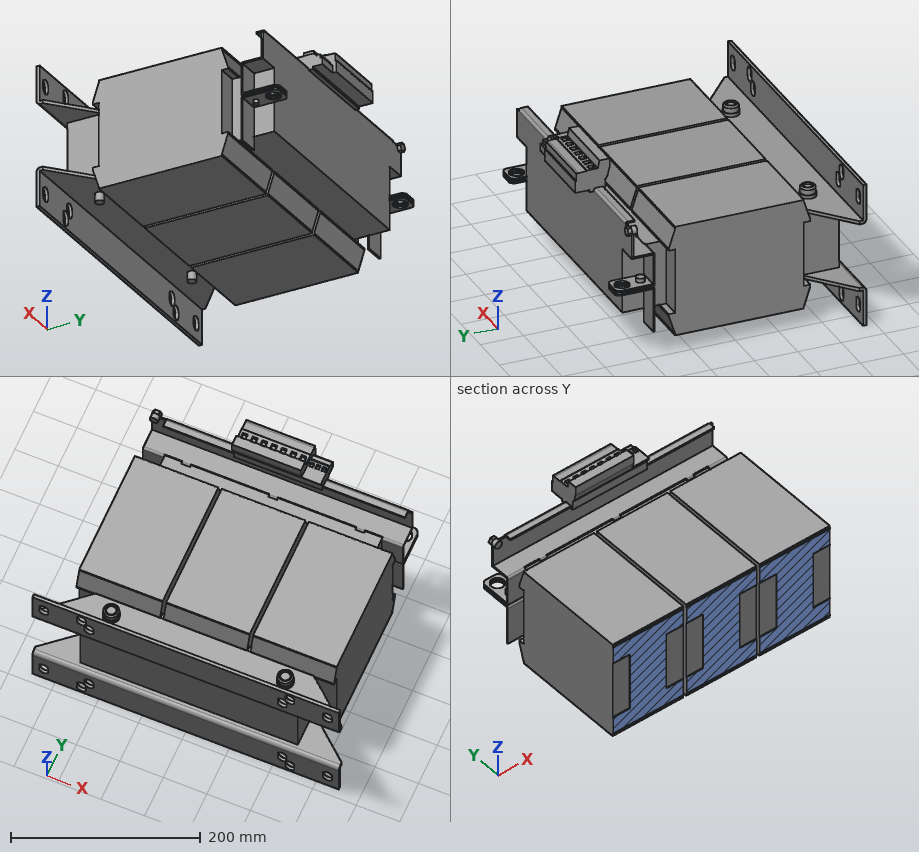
import cadquery as cq

CORE_WIDTH = 250.0
CORE_DEPTH = 250.0
CORE_HEIGHT = 76.0
CORE_FRONT = 9.1
LIMB = 50.0
LEG_PITCH = (CORE_WIDTH - LIMB) / 2
LEG_CENTRES = (-LEG_PITCH, 0.0, LEG_PITCH)
CORE_TOP = CORE_HEIGHT / 2
CORE_BACK = CORE_FRONT + CORE_DEPTH
WINDOW_FRONT = CORE_FRONT + LIMB
WINDOW_BACK = CORE_BACK - LIMB

COIL_WIDTH = 96.0
COIL_TOP = 65.0
COIL_GAP = 0.7
FLARE_REACH = 7.5
FLARE_TOP = 63.0
FLARE_LIP = 2.0
COIL_FRONT = WINDOW_FRONT + COIL_GAP
COIL_BACK = WINDOW_BACK - COIL_GAP

ANGLE_LENGTH = 352.0
ANGLE_THICKNESS = 4.0
ANGLE_TOP = 84.25
ANGLE_BEND = 5.0
ANGLE_TAPER_START = 8.0
ANGLE_BACK = 52.0
SLOT_WIDTH = 10.5
SLOT_LENGTH = 17.0
SLOT_CENTRES = ((163.0, 64.5), (119.6, 72.5), (111.0, 59.5))

BOLT_DIAMETER = 10.0
BOLT_Y = CORE_FRONT + LIMB / 2
WASHER_DIAMETER = 18.5
WASHER_THICKNESS = 4.0
BOLT_HEAD_DIAMETER = 17.0
BOLT_HEAD_HEIGHT = 8.0
BOLT_HEAD_CHAMFER = 2.0
BOLT_SOCKET_DIAMETER = 11.0
BOLT_SOCKET_DEPTH = 2.0
BOLT_TAIL = 10.0

SHEET = 2.0
BEND_RADIUS = 2.5
BRACKET_WIDTH = 299.0
BRACKET_FRONT = 232.6
CLIP_WIDTH = 10.0
CLIP_ROUND = 1.9
EAR_WIDTH = (BRACKET_WIDTH - CORE_WIDTH) / 2
EAR_X = (BRACKET_WIDTH - EAR_WIDTH) / 2
EAR_BACK = 276.8
EAR_GAP = 2.0
EAR_CORNER = 6.0
EYE_DIAMETER = 16.5
EYE_Y = 265.0
LOWER_SHEET_BOTTOM = -54.0
RAIL_TOP = 74.5
RAIL_BEND = 3.0
RAIL_FRONT = 248.6
RAIL_LEFT = -133.0
RAIL_RIGHT = 145.0

EAR_SCREW_Y = 243.9
EAR_SCREW_DIAMETER = 6.0
EAR_SCREW_TAIL = 7.0
EAR_SCREW_HEAD_DIAMETER = 10.0
EAR_SCREW_HEAD_HEIGHT = 5.0
EARTH_X = -145.5
EARTH_Z = 70.0
EARTH_HEAD_DIAMETER = 9.5
EARTH_FRONT = 253.0
EARTH_NUT_DIAMETER = 10.4
EARTH_BACK = 263.5

TERMINAL_LEFT = -50.4
TERMINAL_RIGHT = 28.8
TERMINAL_TOP = 106.3
TERMINAL_DECK = 97.3
TERMINAL_DECK_STEP = 267.0
TERMINAL_BACK = 280.4
TERMINAL_BACK_RECESS = 1.2
TERMINAL_BACK_STEP = 87.3
TERMINAL_BACK_CREASE = 276.7
DECK_DROP = 1.2
DECK_RISE = 0.3
TERMINAL_RIDGE_FOOT = 254.5
TERMINAL_RIDGE_BACK = 252.5
TERMINAL_FRONT = 240.9
TERMINAL_FRONT_BOTTOM = 95.7
TERMINAL_BAND_Y = 241.6
TERMINAL_BAND_BOTTOM = 93.4
WAIST_Y = 243.4
WAIST_Z = 85.7
FOOT_FRONT = 245.8
FOOT_BACK = 264.0
FOOT_TOP = 82.1
FOOT_BOTTOM = 70.7
TERMINAL_BOTTOM = 73.4
TERMINAL_POLES = 7
TERMINAL_PITCH = 11.25
OPENING_WIDTH = 5.5
OPENING_DEPTH = 6.5
OPENING_Y = 259.6
POCKET_DEPTH = 4.0

SMALL_RIGHT = 50.9
SMALL_TOP = 89.0
SMALL_SHOULDER = 86.0
SMALL_BACK = 275.8
SMALL_BACK_STEP = 82.0
SMALL_UPPER_BACK = 273.1
SMALL_SLOPE_BACK = 268.2
SMALL_SLOPE_FRONT = 265.7
SMALL_FRONT = 242.2
SMALL_POLES = 3
SMALL_PITCH = 7.0
SMALL_OPENING_WIDTH = 4.0
SMALL_OPENING_DEPTH = 5.0
SMALL_OPENING_Y = 260.5


def box(x0, x1, y0, y1, z0, z1):
    """Block between two opposite corners."""
    return cq.Workplane("XY").box(x1 - x0, y1 - y0, z1 - z0, centered=False).translate((x0, y0, z0))


def rod(x, y, z0, z1, diameter):
    """Upright cylinder from z0 to z1."""
    return cq.Workplane("XY", origin=(x, y, z0)).circle(diameter / 2).extrude(z1 - z0)


def extrude_profile(points, x0, x1):
    """Closed (y, z) outline swept from x0 to x1."""
    return cq.Workplane("YZ", origin=(x0, 0, 0)).polyline(points).close().extrude(x1 - x0)


def make_core():
    half = CORE_WIDTH / 2
    core = box(-half, half, CORE_FRONT, CORE_BACK, -CORE_TOP, CORE_TOP)
    for left, right in zip(LEG_CENTRES, LEG_CENTRES[1:]):
        core = core.cut(
            box(left + LIMB / 2, right - LIMB / 2, WINDOW_FRONT, WINDOW_BACK, -CORE_TOP, CORE_TOP)
        )
    return core


def make_coil(x):
    lip_top = CORE_TOP + FLARE_LIP
    upper = [
        (COIL_FRONT, CORE_TOP),
        (COIL_FRONT - FLARE_REACH, CORE_TOP),
        (COIL_FRONT - FLARE_REACH, lip_top),
        (COIL_FRONT, FLARE_TOP),
        (COIL_FRONT, COIL_TOP),
        (COIL_BACK, COIL_TOP),
        (COIL_BACK, FLARE_TOP),
        (COIL_BACK + FLARE_REACH, lip_top),
        (COIL_BACK + FLARE_REACH, CORE_TOP),
        (COIL_BACK, CORE_TOP),
    ]
    lower = [(y, -z) for y, z in reversed(upper)]
    return extrude_profile(upper + lower, x - COIL_WIDTH / 2, x + COIL_WIDTH / 2)


def make_mounting_angle():
    """Upper angle: drilled upright flange and a tapered sheet lying on the core."""
    half = ANGLE_LENGTH / 2
    sheet_top = CORE_TOP + ANGLE_THICKNESS
    sheet = box(-half, half, 0, ANGLE_BACK, CORE_TOP, sheet_top)
    flange = box(-half, half, 0, ANGLE_THICKNESS, CORE_TOP, ANGLE_TOP)
    angle = sheet.union(flange)
    angle = angle.edges("|X and <Y and <Z").fillet(ANGLE_BEND)
    outline = [
        (-half, 0),
        (half, 0),
        (half, ANGLE_TAPER_START),
        (CORE_WIDTH / 2, ANGLE_BACK),
        (-CORE_WIDTH / 2, ANGLE_BACK),
        (-half, ANGLE_TAPER_START),
    ]
    angle = angle.intersect(cq.Workplane("XY").polyline(outline).close().extrude(ANGLE_TOP))
    centres = [(side * x, z) for x, z in SLOT_CENTRES for side in (-1, 1)]
    slots = (
        cq.Workplane("XZ", origin=(0, ANGLE_THICKNESS, 0))
        .pushPoints(centres)
        .slot2D(SLOT_LENGTH, SLOT_WIDTH, 90)
        .extrude(ANGLE_THICKNESS)
    )
    return angle.cut(slots)


def make_bolt(x):
    washer_base = CORE_TOP + ANGLE_THICKNESS
    head_base = washer_base + WASHER_THICKNESS
    head_top = head_base + BOLT_HEAD_HEIGHT
    head = rod(x, BOLT_Y, head_base, head_top, BOLT_HEAD_DIAMETER)
    head = head.faces(">Z").edges().chamfer(BOLT_HEAD_CHAMFER)
    head = head.cut(rod(x, BOLT_Y, head_top - BOLT_SOCKET_DEPTH, head_top, BOLT_SOCKET_DIAMETER))
    washer = rod(x, BOLT_Y, washer_base, head_base, WASHER_DIAMETER)
    shank = rod(x, BOLT_Y, -washer_base - BOLT_TAIL, head_base, BOLT_DIAMETER)
    return shank.union(washer).union(head)


def make_bent_tab(x, width, top, bottom):
    """Sheet strip bent down from a plate whose upper face is at z = top."""
    tab = box(
        x - width / 2, x + width / 2, BRACKET_FRONT, BRACKET_FRONT + BEND_RADIUS + SHEET, bottom, top
    )
    tab = tab.edges("|X and <Y and >Z").fillet(BEND_RADIUS)
    underside = box(
        x - width / 2, x + width / 2, BRACKET_FRONT + SHEET, BRACKET_FRONT + BEND_RADIUS + SHEET,
        bottom, top - SHEET,
    )
    return tab.cut(underside)


def make_ear(x, bottom):
    """Horizontal lifting ear with a rounded end and an eye."""
    ear = box(x - EAR_WIDTH / 2, x + EAR_WIDTH / 2, BRACKET_FRONT + SHEET, EAR_BACK, bottom, bottom + SHEET)
    ear = ear.edges("|Z and >Y").fillet(EAR_CORNER)
    return ear.cut(rod(x, EYE_Y, bottom, bottom + SHEET, EYE_DIAMETER))


def make_ear_assembly(x):
    """Upper and lower side flanges with their ears, joined by a screw."""
    plate_top = CORE_TOP + SHEET
    upper_ear = EAR_GAP / 2
    lower_ear = -EAR_GAP / 2 - SHEET
    head_base = upper_ear + SHEET
    upper = make_bent_tab(x, EAR_WIDTH, plate_top, upper_ear)
    foot = box(
        x - EAR_WIDTH / 2, x + EAR_WIDTH / 2, BRACKET_FRONT, BRACKET_FRONT + SHEET,
        upper_ear, upper_ear + SHEET,
    )
    lower = make_bent_tab(x, EAR_WIDTH, lower_ear + SHEET, LOWER_SHEET_BOTTOM)
    shank = rod(x, EAR_SCREW_Y, -EAR_SCREW_TAIL, head_base, EAR_SCREW_DIAMETER)
    head = rod(x, EAR_SCREW_Y, head_base, head_base + EAR_SCREW_HEAD_HEIGHT, EAR_SCREW_HEAD_DIAMETER)
    assembly = upper.union(foot).union(lower).union(shank).union(head)
    return assembly.union(make_ear(x, upper_ear)).union(make_ear(x, lower_ear))


def make_rail():
    """Plate on the rear yoke, rising into a rail with a turned-in top."""
    half = BRACKET_WIDTH / 2
    plate_top = CORE_TOP + SHEET
    plate_front = BRACKET_FRONT + BEND_RADIUS
    plate = box(-half, half, plate_front, CORE_BACK, CORE_TOP, plate_top)
    wall = box(-half, half, CORE_BACK - SHEET, CORE_BACK, CORE_TOP, RAIL_TOP - RAIL_BEND)
    lip_base = RAIL_TOP - 2 * RAIL_BEND
    lip = box(RAIL_LEFT, RAIL_RIGHT, RAIL_FRONT, CORE_BACK, lip_base, RAIL_TOP)
    lip = lip.edges("|X and >Y and >Z").fillet(RAIL_BEND)
    lip = lip.cut(box(RAIL_LEFT, RAIL_RIGHT, RAIL_FRONT, CORE_BACK - SHEET, lip_base, RAIL_TOP - SHEET))
    rail = plate.union(wall).union(lip)
    for x in LEG_CENTRES:
        clip = box(x - CLIP_WIDTH / 2, x + CLIP_WIDTH / 2, BRACKET_FRONT, plate_front, CORE_TOP, plate_top)
        rail = rail.union(clip.edges("|X and <Y and >Z").fillet(CLIP_ROUND))
    return rail


def make_earth_screw():
    def along_y(y0, y1, diameter):
        plane = cq.Workplane("XZ", origin=(EARTH_X, y1, EARTH_Z))
        return plane.circle(diameter / 2).extrude(y1 - y0)

    head = along_y(EARTH_FRONT, CORE_BACK, EARTH_HEAD_DIAMETER)
    nut = (
        cq.Workplane("XZ", origin=(EARTH_X, EARTH_BACK, EARTH_Z))
        .polygon(6, EARTH_NUT_DIAMETER)
        .extrude(EARTH_BACK - CORE_BACK)
    )
    return head.union(nut)


def make_terminal_block(x0, x1, back_and_top, front):
    """Block whose (y, z) outline runs from its back over the top to the front, above the common foot."""
    foot = [
        (WAIST_Y, WAIST_Z),
        (FOOT_FRONT, FOOT_TOP),
        (FOOT_FRONT, FOOT_BOTTOM),
        (FOOT_BACK, FOOT_BOTTOM),
        (FOOT_BACK, TERMINAL_BOTTOM),
    ]
    return extrude_profile(back_and_top + front + foot, x0, x1)


def make_openings(x_middle, poles, pitch, y, width, depth, top):
    """Row of rectangular wire openings sunk below z = top."""
    centres = [(x_middle + (i - (poles - 1) / 2) * pitch, y) for i in range(poles)]
    plane = cq.Workplane("XY", origin=(0, 0, top - POCKET_DEPTH))
    return plane.pushPoints(centres).rect(width, depth).extrude(2 * POCKET_DEPTH)


def make_terminals():
    recessed_back = TERMINAL_BACK - TERMINAL_BACK_RECESS
    deck_edge = TERMINAL_DECK - DECK_DROP
    back_and_top = [
        (TERMINAL_BACK, TERMINAL_BOTTOM),
        (TERMINAL_BACK, TERMINAL_BACK_STEP),
        (recessed_back, TERMINAL_BACK_STEP),
        (recessed_back, deck_edge),
        (TERMINAL_BACK_CREASE, deck_edge + DECK_RISE),
        (TERMINAL_DECK_STEP, deck_edge + 2 * DECK_RISE),
        (TERMINAL_DECK_STEP, TERMINAL_DECK),
        (TERMINAL_RIDGE_FOOT, TERMINAL_DECK),
        (TERMINAL_RIDGE_BACK, TERMINAL_TOP),
    ]
    front = [
        (TERMINAL_FRONT, TERMINAL_TOP),
        (TERMINAL_FRONT, TERMINAL_FRONT_BOTTOM),
        (TERMINAL_BAND_Y, TERMINAL_BAND_BOTTOM),
    ]
    block = make_terminal_block(TERMINAL_LEFT, TERMINAL_RIGHT, back_and_top, front)
    middle = (TERMINAL_LEFT + TERMINAL_RIGHT) / 2
    return block.cut(
        make_openings(
            middle, TERMINAL_POLES, TERMINAL_PITCH, OPENING_Y, OPENING_WIDTH, OPENING_DEPTH, TERMINAL_DECK
        )
    )


def make_small_terminals():
    back_and_top = [
        (SMALL_BACK, TERMINAL_BOTTOM),
        (SMALL_BACK, SMALL_BACK_STEP),
        (SMALL_UPPER_BACK, SMALL_BACK_STEP),
        (SMALL_UPPER_BACK, SMALL_SHOULDER),
        (SMALL_SLOPE_BACK, SMALL_SHOULDER),
        (SMALL_SLOPE_FRONT, SMALL_TOP),
    ]
    front = [(SMALL_FRONT, SMALL_TOP)]
    block = make_terminal_block(TERMINAL_RIGHT, SMALL_RIGHT, back_and_top, front)
    middle = (TERMINAL_RIGHT + SMALL_RIGHT) / 2
    return block.cut(
        make_openings(
            middle, SMALL_POLES, SMALL_PITCH, SMALL_OPENING_Y, SMALL_OPENING_WIDTH, SMALL_OPENING_DEPTH,
            SMALL_TOP,
        )
    )


result = make_core()
for leg in LEG_CENTRES:
    result = result.union(make_coil(leg))
angle = make_mounting_angle()
result = result.union(angle).union(angle.mirror("XY"))
for side in (-1, 1):
    result = result.union(make_bolt(side * LEG_PITCH))
    result = result.union(make_ear_assembly(side * EAR_X))
result = result.union(make_rail()).union(make_earth_screw())
result = result.union(make_terminals()).union(make_small_terminals())